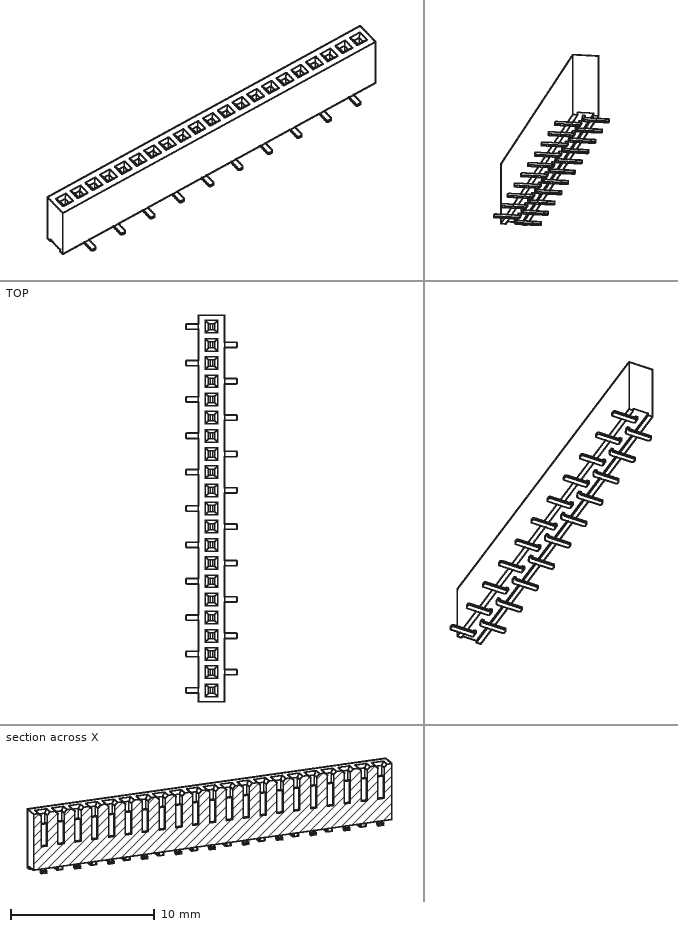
import cadquery as cq

POSITIONS = 21
PITCH = 1.27
ROW_LENGTH = (POSITIONS - 1) * PITCH

METAL_THICKNESS = 0.16

HOUSING_LENGTH = 27.02
HOUSING_WIDTH = 1.84
TOTAL_HEIGHT = 4.53
HOUSING_BOTTOM = METAL_THICKNESS
CHANNEL_WIDTH = 1.15
CHANNEL_DEPTH = 0.17
CHANNEL_TOP = HOUSING_BOTTOM + CHANNEL_DEPTH

FUNNEL_SIDE = 0.87
BORE_SIDE = 0.43
FUNNEL_DEPTH = (FUNNEL_SIDE - BORE_SIDE) / 2
SOCKET_DEPTH = 2.5
SOCKET_FLOOR = TOTAL_HEIGHT - SOCKET_DEPTH

LEAD_WIDTH = 0.39
STEM_WIDTH = 0.3
LEAD_SPAN = 3.58
LEAD_TIP_RADIUS = 0.1
BLADE_HEIGHT = 1.6
BLADE_TOP = SOCKET_FLOOR + BLADE_HEIGHT


def box_between(x_range, y_range, z_range):
    """Axis-aligned box between the given limits."""
    size = [high - low for low, high in (x_range, y_range, z_range)]
    corner = (x_range[0], y_range[0], z_range[0])
    return cq.Workplane("XY").box(*size, centered=False).translate(corner)


def centred(width, middle=0.0):
    """Lower and upper limits of a span about its middle."""
    return (middle - width / 2, middle + width / 2)


def make_housing():
    """Long block with a shallow channel along its underside."""
    block = box_between(
        centred(HOUSING_WIDTH), centred(HOUSING_LENGTH), (HOUSING_BOTTOM, TOTAL_HEIGHT)
    )
    channel = box_between(
        centred(CHANNEL_WIDTH), centred(HOUSING_LENGTH), (HOUSING_BOTTOM, CHANNEL_TOP)
    )
    return block.cut(channel)


def make_socket(y):
    """Cutter for one socket: tapered mouth above a straight bore."""
    funnel = (
        cq.Workplane("XY", origin=(0, y, TOTAL_HEIGHT))
        .rect(FUNNEL_SIDE, FUNNEL_SIDE)
        .workplane(offset=-FUNNEL_DEPTH)
        .rect(BORE_SIDE, BORE_SIDE)
        .loft(ruled=True)
    )
    bore = box_between(
        centred(BORE_SIDE), centred(BORE_SIDE, y), (SOCKET_FLOOR, TOTAL_HEIGHT - FUNNEL_DEPTH)
    )
    return funnel.union(bore)


def make_blade(y):
    """Upright blade spanning the bore, rising from the socket floor."""
    return box_between(centred(METAL_THICKNESS), centred(BORE_SIDE, y), (SOCKET_FLOOR, BLADE_TOP))


def make_lead(y, side):
    """Flat foot pointing to one side, with a rounded heel and a narrower stem up to the housing."""
    heel = -side * METAL_THICKNESS / 2
    tip = side * LEAD_SPAN / 2
    foot = (
        cq.Workplane("XZ", origin=(0, y + LEAD_WIDTH / 2, 0))
        .moveTo(tip, 0)
        .lineTo(heel + side * METAL_THICKNESS, 0)
        .radiusArc((heel, METAL_THICKNESS), side * METAL_THICKNESS)
        .lineTo(tip, METAL_THICKNESS)
        .close()
        .extrude(LEAD_WIDTH)
    )
    tip_face = ">X" if side > 0 else "<X"
    foot = foot.faces(tip_face).edges("|Z").fillet(LEAD_TIP_RADIUS)
    stem = box_between(
        centred(METAL_THICKNESS), centred(STEM_WIDTH, y), (METAL_THICKNESS, CHANNEL_TOP)
    )
    return foot.union(stem)


def make_connector():
    """Housing with one socket, blade and lead at every position."""
    connector = make_housing()
    for index in range(POSITIONS):
        y = index * PITCH - ROW_LENGTH / 2
        side = -1 if index % 2 == 0 else 1
        connector = connector.cut(make_socket(y))
        connector = connector.union(make_blade(y))
        connector = connector.union(make_lead(y, side))
    return connector


result = make_connector()